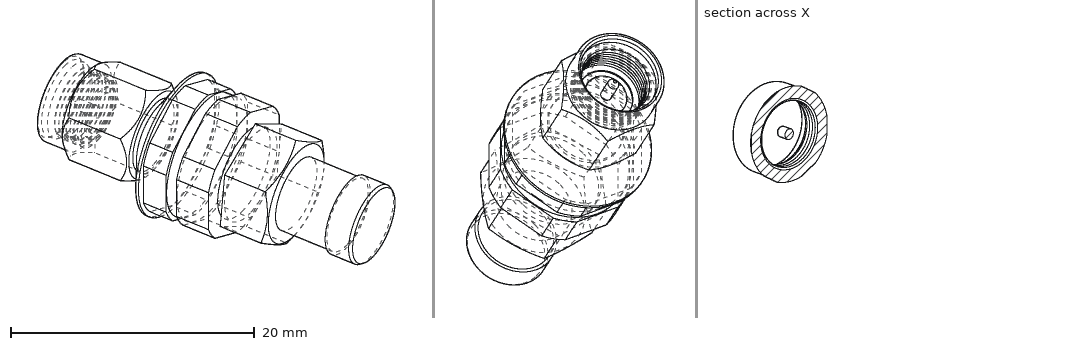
import cadquery as cq
import math


COUPLING_HEX_START = 2.5
COUPLING_HEX_END = 8.92
CONE_START = 9.28
RIM_START = 11.08
RIM_END = 11.35
BODY_HEX_END = 13.55
LOCK_NUT_START = 14.55
LOCK_NUT_END = 17.62
REAR_HEX_START = 18.28
REAR_HEX_END = 22.65
COLLAR_START = 27.6
TOTAL_LENGTH = 30.12

SLEEVE_RADIUS = 3.9
SLEEVE_ROUND = 0.27
NECK_RADIUS = 3.25
RIM_RADIUS = 6.35
BODY_GROOVE_RADIUS = 5.5
REAR_NECK_RADIUS = 4.13
COLLAR_RADIUS = 3.52
COLLAR_CHAMFER_LENGTH = 0.27
COLLAR_CHAMFER_DEPTH = 0.18

COUPLING_HEX_FLATS = 8.0
BODY_HEX_FLATS = 11.15
BODY_HEX_ROUND_RADIUS = 5.93
REAR_HEX_FLATS = 9.0
REAR_HEX_TURN = -7.7
REAR_HEX_END_RADIUS = 4.4
COUPLING_CHAMFER_ANGLE = 45.0
REAR_CHAMFER_ANGLE = 60.0

MOUTH_RADIUS = 3.37
MOUTH_CHAMFER = 0.2
MOUTH_DEPTH = 0.78
THREAD_START_RADIUS = 2.95
THREAD_CREST_RADIUS = 2.83
THREAD_PITCH = 0.35
THREAD_ANGLE = 60.0
GROOVE_COUNT = 7
SOCKET_DEPTH = 3.7
RING_OUTER_RADIUS = 2.32
RING_INNER_RADIUS = 1.8
RING_DEPTH = 0.15
PIN_RADIUS = 0.467
PIN_TIP_RADIUS = 0.12
PIN_TIP_START = 1.35
PIN_TIP_LENGTH = 0.42


def revolve_profile(points):
    """Solid turned about the X axis from (station, radius) points that begin and end on the axis."""
    return cq.Workplane("XY").polyline(points).close().revolve(360, (0, 0, 0), (1, 0, 0))


def cylinder(start, end, radius):
    return cq.Workplane("YZ", origin=(start, 0, 0)).circle(radius).extrude(end - start)


def hexagon(start, end, across_flats, turn=0.0):
    """Hexagonal prism with flats facing +Y and -Y, turned about X by the given angle."""
    corner_diameter = across_flats / math.cos(math.radians(30))
    prism = cq.Workplane("YZ", origin=(start, 0, 0)).polygon(6, corner_diameter).extrude(end - start)
    return prism.rotate((0, 0, 0), (1, 0, 0), 30 + turn)


def chamfer_envelope(start, end, across_flats, end_radius, angle, both_ends):
    """Turned blank that cuts conical chamfers on hexagon corners; angle is measured from the axis."""
    corner_radius = across_flats / 2 / math.cos(math.radians(30))
    length = (corner_radius - end_radius) / math.tan(math.radians(angle))
    points = [(end, 0), (end, end_radius), (end - length, corner_radius)]
    if both_ends:
        points += [(start + length, corner_radius), (start, end_radius), (start, 0)]
    else:
        points += [(start, corner_radius), (start, 0)]
    return revolve_profile(points)


def turned_core():
    """All the round outer steps, with the rounded mouth and the chamfered far end."""
    sleeve = cylinder(0, COUPLING_HEX_START, SLEEVE_RADIUS).faces("<X").edges().fillet(SLEEVE_ROUND)
    shaft = revolve_profile([
        (COUPLING_HEX_START, 0),
        (COUPLING_HEX_START, NECK_RADIUS),
        (CONE_START, NECK_RADIUS),
        (RIM_START, RIM_RADIUS),
        (RIM_END, RIM_RADIUS),
        (RIM_END, BODY_GROOVE_RADIUS),
        (LOCK_NUT_END, BODY_GROOVE_RADIUS),
        (LOCK_NUT_END, REAR_NECK_RADIUS),
        (REAR_HEX_START, REAR_NECK_RADIUS),
        (REAR_HEX_START, NECK_RADIUS),
        (COLLAR_START, NECK_RADIUS),
        (COLLAR_START, COLLAR_RADIUS),
        (TOTAL_LENGTH - COLLAR_CHAMFER_LENGTH, COLLAR_RADIUS),
        (TOTAL_LENGTH, COLLAR_RADIUS - COLLAR_CHAMFER_DEPTH),
        (TOTAL_LENGTH, 0),
    ])
    return sleeve.union(shaft)


def coupling_hex():
    span = (COUPLING_HEX_START, COUPLING_HEX_END, COUPLING_HEX_FLATS)
    envelope = chamfer_envelope(*span, SLEEVE_RADIUS, COUPLING_CHAMFER_ANGLE, both_ends=True)
    return hexagon(*span).intersect(envelope)


def round_cornered_hex(start, end):
    """Hexagon whose corners are turned down to a cylinder."""
    return hexagon(start, end, BODY_HEX_FLATS).intersect(cylinder(start, end, BODY_HEX_ROUND_RADIUS))


def rear_hex():
    span = (REAR_HEX_START, REAR_HEX_END, REAR_HEX_FLATS)
    envelope = chamfer_envelope(*span, REAR_HEX_END_RADIUS, REAR_CHAMFER_ANGLE, both_ends=False)
    return hexagon(*span, REAR_HEX_TURN).intersect(envelope)


def threaded_socket():
    """Void of the socket: chamfered mouth, ring-shaped V grooves for the thread and a flat floor."""
    groove_half_width = THREAD_PITCH / 2
    groove_depth = groove_half_width / math.tan(math.radians(THREAD_ANGLE / 2))
    root_radius = THREAD_CREST_RADIUS + groove_depth
    first_crest = SOCKET_DEPTH - GROOVE_COUNT * THREAD_PITCH
    points = [
        (0, 0),
        (0, MOUTH_RADIUS + MOUTH_CHAMFER),
        (MOUTH_CHAMFER, MOUTH_RADIUS),
        (MOUTH_DEPTH, MOUTH_RADIUS),
        (MOUTH_DEPTH + MOUTH_RADIUS - THREAD_START_RADIUS, THREAD_START_RADIUS),
    ]
    for groove in range(GROOVE_COUNT):
        crest = first_crest + groove * THREAD_PITCH
        points.append((crest + groove_half_width, root_radius))
        points.append((crest + THREAD_PITCH, THREAD_CREST_RADIUS))
    points.append((SOCKET_DEPTH, 0))
    return revolve_profile(points)


def floor_ring_groove():
    ring = cq.Workplane("YZ", origin=(SOCKET_DEPTH, 0, 0)).circle(RING_OUTER_RADIUS).circle(RING_INNER_RADIUS)
    return ring.extrude(RING_DEPTH)


def contact_pin():
    shoulder = PIN_TIP_START + PIN_TIP_LENGTH
    pin_root = SOCKET_DEPTH + RING_DEPTH
    return revolve_profile([
        (PIN_TIP_START, 0),
        (PIN_TIP_START, PIN_TIP_RADIUS),
        (shoulder, PIN_RADIUS),
        (pin_root, PIN_RADIUS),
        (pin_root, 0),
    ])


result = (
    turned_core()
    .union(coupling_hex())
    .union(round_cornered_hex(RIM_END, BODY_HEX_END))
    .union(round_cornered_hex(LOCK_NUT_START, LOCK_NUT_END))
    .union(rear_hex())
    .cut(threaded_socket())
    .cut(floor_ring_groove())
    .union(contact_pin())
)